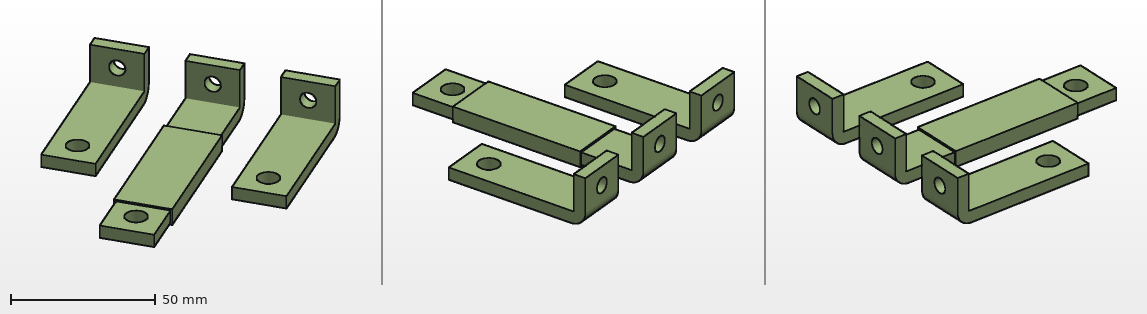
import cadquery as cq

bar_width = 20.0
bar_thickness = 5.0
bar_height = 20.0
inner_bend_radius = 0.01
outer_bend_radius = 6.0

long_bar_length = 98.0
short_bar_length = 58.0
bar_spacing = 35.0

upright_hole_diameter = 6.0
upright_hole_drop = 7.5
flat_hole_diameter = 8.2
flat_hole_setback = 10.0

sleeve_wall = 0.7
sleeve_length = 54.0
sleeve_setback = 26.4


def make_bent_bar(length, x_center):
    """L-shaped bar: upright leg's outer face at Y = 0, flat leg running to Y = -length."""
    bar = (
        cq.Workplane("YZ")
        .polyline([
            (0, 0),
            (0, bar_height),
            (-bar_thickness, bar_height),
            (-bar_thickness, bar_thickness),
            (-length, bar_thickness),
            (-length, 0),
        ])
        .close()
        .extrude(bar_width / 2, both=True)
    )
    outer_corner = cq.NearestToPointSelector((0, 0, 0))
    inner_corner = cq.NearestToPointSelector((0, -bar_thickness, bar_thickness))
    bar = bar.edges("|X").edges(outer_corner).fillet(outer_bend_radius)
    bar = bar.edges("|X").edges(inner_corner).fillet(inner_bend_radius)

    upright_hole = (
        cq.Workplane("XZ")
        .center(0, bar_height - upright_hole_drop)
        .circle(upright_hole_diameter / 2)
        .extrude(bar_thickness)
    )
    flat_hole = (
        cq.Workplane("XY")
        .center(0, flat_hole_setback - length)
        .circle(flat_hole_diameter / 2)
        .extrude(bar_thickness)
    )
    return bar.cut(upright_hole).cut(flat_hole).translate((x_center, 0, 0))


def make_sleeved_bar():
    """Long bar with a thicker, wider middle section, all one solid."""
    sleeve = (
        cq.Workplane("XY")
        .box(
            bar_width + 2 * sleeve_wall,
            sleeve_length,
            bar_thickness + 2 * sleeve_wall,
        )
        .translate((0, -sleeve_setback - sleeve_length / 2, bar_thickness / 2))
    )
    return make_bent_bar(long_bar_length, 0).union(sleeve)


sleeved_bar = make_sleeved_bar()
short_bars = [make_bent_bar(short_bar_length, side * bar_spacing) for side in (-1, 1)]

result = cq.Compound.makeCompound([
    sleeved_bar.val(),
    *[bar.val() for bar in short_bars],
])